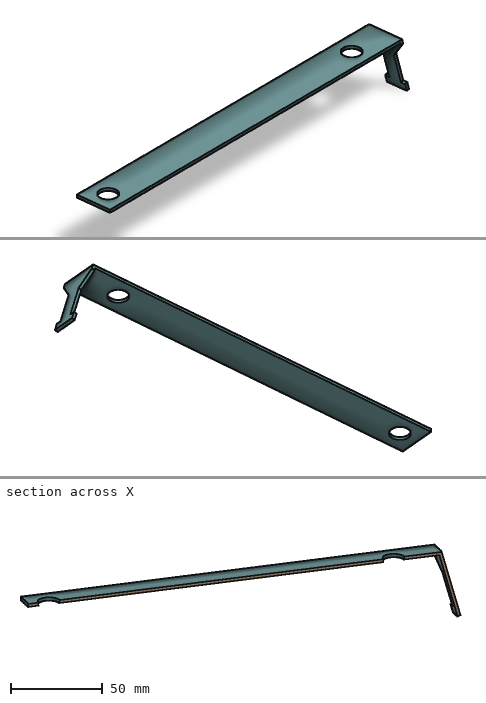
import cadquery as cq
import math

length = 251.0
width = 24.0
height = 39.0
thickness = 2.0

hole_diameter = 12.0
hole_spacing = 200.0
hole_end_distance = 12.0

tilt = math.radians(16)
taper_start = 3.0
taper_end = 13.3
stem_width = 8.5
head_width = 14.5
head_length = 5.0

end_rise = thickness * math.sin(tilt)
near_end = -length / 2
bend_y = length / 2 - (height - end_rise) * math.tan(tilt)


def bent_strip():
    """Full-width strip with the tab folded down at its far end."""
    bend_angle = math.pi / 2 - tilt
    inner_bend_y = bend_y - thickness * math.tan(bend_angle / 2)
    profile = [
        (near_end, 0),
        (bend_y, 0),
        (length / 2, end_rise - height),
        (length / 2 - thickness * math.cos(tilt), -height),
        (inner_bend_y, -thickness),
        (near_end, -thickness),
    ]
    return cq.Workplane("YZ").polyline(profile).close().extrude(width / 2, both=True)


def side_waste(side):
    """Material trimmed beside the tapered neck, narrow stem and T-shaped head."""
    slope = math.cos(tilt)
    tab_end = (height - end_rise) / slope
    shoulder = tab_end - head_length
    outline = [
        (width / 2, taper_start / slope),
        (stem_width / 2, taper_end / slope),
        (stem_width / 2, shoulder),
        (head_width / 2, shoulder),
        (head_width / 2, tab_end),
        (width / 2, tab_end),
    ]
    tab_plane = cq.Plane(
        origin=(0, bend_y, 0),
        xDir=(-1, 0, 0),
        normal=(0, math.cos(tilt), math.sin(tilt)),
    )
    points = [(side * x, -distance) for x, distance in outline]
    return cq.Workplane(tab_plane).polyline(points).close().extrude(-thickness)


def mounting_holes():
    first_y = near_end + hole_end_distance
    centres = [(0, first_y), (0, first_y + hole_spacing)]
    return cq.Workplane("XY").pushPoints(centres).circle(hole_diameter / 2).extrude(-thickness)


result = bent_strip().cut(mounting_holes())
for side in (-1, 1):
    result = result.cut(side_waste(side))